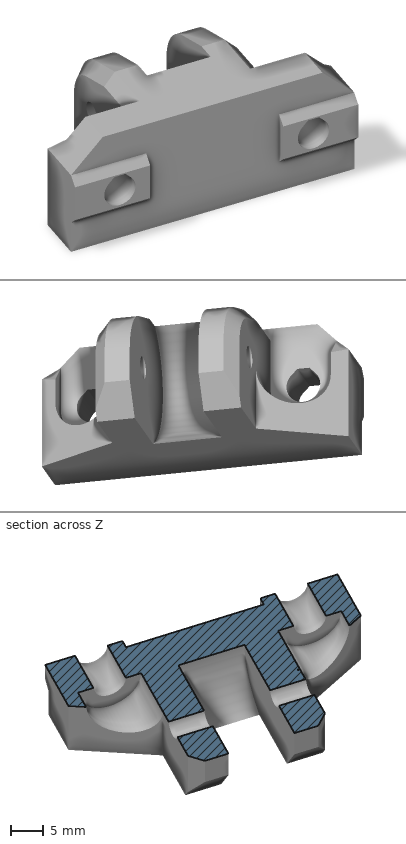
import math

import cadquery as cq


height = 20.0
width = 49.0
total_depth = 28.1
pad_depth = 1.4
plate_thickness = 6.0
corner_chamfer = 5.5
plate_back = total_depth - pad_depth
plate_front = plate_back - plate_thickness
shoulder_z = height - corner_chamfer

clevis_width = 23.0
slot_width = 11.0
arm_radius = 8.0
pivot_x = arm_radius
pivot_z = 10.35
pivot_hole_diameter = 3.5
slot_radius = 12.0
arm_chamfer = 2.0
arm_top_start_x = 12.0
arm_bottom_cut = 3.0
arm_bottom_angle = 60.0

wing_arm_x = 12.0
wing_end_x = 18.7
wing_arm_z = 10.5
facet_rise_per_x = 1.14
screw_hole_diameter = 5.4
screw_hole_roof = 2.87
screw_seat_diameter = 10.5
screw_z = 10.0
screw_y = (clevis_width + screw_seat_diameter) / 2

pad_base_height = 9.0
pad_tip_height = pad_base_height - 2 * pad_depth
pad_length = (width - clevis_width) / 2


def make_plate():
    """Flat plate with its two upper corners cut at 45 degrees."""
    plate = cq.Workplane("XY").box(plate_thickness, width, height, centered=(False, True, False))
    plate = plate.edges("|X and >Z").chamfer(corner_chamfer)
    return plate.translate((plate_front, 0, 0))


def make_clevis_block():
    """Solid block of both arms: rounded nose, sloping top and chamfered outer edges."""
    rise = height - pivot_z
    run = arm_top_start_x - pivot_x
    reach = math.hypot(run, rise)
    tangent_angle = math.atan2(rise, run) + math.acos(arm_radius / reach)
    middle_angle = (tangent_angle + math.pi) / 2

    def nose_point(angle):
        return (pivot_x + arm_radius * math.cos(angle), pivot_z + arm_radius * math.sin(angle))

    block = (
        cq.Workplane("XZ")
        .moveTo(0, 0)
        .lineTo(0, pivot_z)
        .threePointArc(nose_point(middle_angle), nose_point(tangent_angle))
        .lineTo(arm_top_start_x, height)
        .lineTo(plate_back, height)
        .lineTo(plate_back, 0)
        .close()
        .extrude(clevis_width / 2, both=True)
    )
    for side in ("<Y", ">Y"):
        block = block.faces(side).edges("not(<Z or >X)").chamfer(arm_chamfer)

    cut_height = arm_bottom_cut * math.tan(math.radians(arm_bottom_angle))
    bottom_cut = (
        cq.Workplane("XZ")
        .polyline([(0, 0), (arm_bottom_cut, 0), (0, cut_height)])
        .close()
        .extrude(clevis_width / 2, both=True)
    )
    return block.cut(bottom_cut)


def make_wing():
    """Tapered +Y wing between arm and plate end, topped by a sloping facet."""
    arm_y = clevis_width / 2
    end_y = width / 2
    wing = (
        cq.Workplane("XY")
        .polyline([
            (wing_arm_x, arm_y),
            (wing_end_x, end_y),
            (plate_front, end_y),
            (plate_front, arm_y),
        ])
        .close()
        .extrude(height)
    )
    corner_cut = (
        cq.Workplane("YZ")
        .polyline([(end_y, shoulder_z), (end_y, height), (end_y - corner_chamfer, height)])
        .close()
        .extrude(plate_back)
    )
    corner = cq.Vector(wing_end_x, end_y, shoulder_z)
    down_wing = cq.Vector(wing_arm_x, arm_y, wing_arm_z) - corner
    up_chamfer = cq.Vector(1, -facet_rise_per_x, facet_rise_per_x)
    facet = cq.Plane(origin=corner, xDir=up_chamfer, normal=down_wing.cross(up_chamfer))
    above_facet = cq.Workplane(facet).rect(2 * width, 2 * width).extrude(width)
    return wing.cut(corner_cut).cut(above_facet)


def make_pad():
    """+Y locating pad with bevelled upper and lower edges."""
    half_base = pad_base_height / 2
    half_tip = pad_tip_height / 2
    return (
        cq.Workplane("XZ")
        .polyline([
            (plate_back, screw_z - half_base),
            (total_depth, screw_z - half_tip),
            (total_depth, screw_z + half_tip),
            (plate_back, screw_z + half_base),
        ])
        .close()
        .extrude(-pad_length)
        .translate((0, clevis_width / 2, 0))
    )


def make_screw_cut():
    """+Y screw hole through plate and pad, with a seat open to the front and top."""
    hole_radius = screw_hole_diameter / 2
    tangent_offset = hole_radius * math.sqrt(0.5)
    roof_half_width = 2 * tangent_offset - screw_hole_roof
    hole = (
        cq.Workplane("YZ")
        .center(screw_y, screw_z)
        .moveTo(tangent_offset, tangent_offset)
        .threePointArc((0, -hole_radius), (-tangent_offset, tangent_offset))
        .lineTo(-roof_half_width, screw_hole_roof)
        .lineTo(roof_half_width, screw_hole_roof)
        .close()
        .extrude(total_depth)
    )
    seat_round = (
        cq.Workplane("YZ")
        .center(screw_y, screw_z)
        .circle(screw_seat_diameter / 2)
        .extrude(plate_front)
    )
    seat_open = (
        cq.Workplane("XY", origin=(0, screw_y, screw_z))
        .box(plate_front, screw_seat_diameter, height, centered=(False, True, False))
    )
    return hole.union(seat_round).union(seat_open)


def cylinder_on_pivot(diameter, length):
    """Cylinder along Y, centred on the hinge axis."""
    return (
        cq.Workplane("XZ")
        .center(pivot_x, pivot_z)
        .circle(diameter / 2)
        .extrude(length / 2, both=True)
    )


def on_both_sides(shape):
    """A +Y feature together with its mirror image."""
    return shape, shape.mirror("XZ")


result = make_plate().union(make_clevis_block())
for feature in (make_wing(), make_pad()):
    for shape in on_both_sides(feature):
        result = result.union(shape)
for screw_cut in on_both_sides(make_screw_cut()):
    result = result.cut(screw_cut)
result = result.cut(cylinder_on_pivot(2 * slot_radius, slot_width))
result = result.cut(cylinder_on_pivot(pivot_hole_diameter, clevis_width))